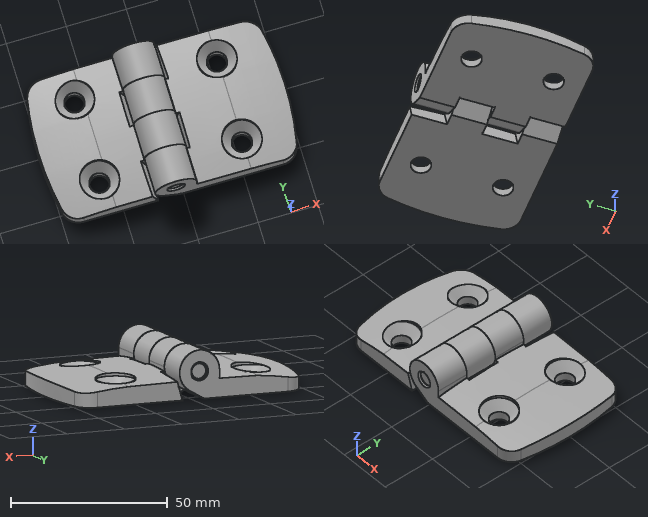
import cadquery as cq
import math

AXIS_X = -2.5
AXIS_Z = 9.0
WIDTH = 48.0
BARREL_RADIUS = 7.0
KNUCKLE_COUNT = 4
KNUCKLE_WIDTH = WIDTH / KNUCKLE_COUNT
UNDERSIDE_ANGLE = math.radians(30)

PIN_DIAMETER = 5.9
PIN_CHAMFER = 0.5
PIN_RECESS = 0.65
PIN_LENGTH = WIDTH - 2 * PIN_RECESS
RIGHT_BORE_DIAMETER = PIN_DIAMETER
LEFT_BORE_DIAMETER = 6.0

OUTER_X = 41.0
RIGHT_END = OUTER_X - AXIS_X
LEFT_END = OUTER_X + AXIS_X
RIGHT_SHOULDER = (24.9, 7.6)
LEFT_SHOULDER = (20.0, 7.8)
RIGHT_END_Z = 5.6
LEFT_END_Z = 4.9
RIGHT_EDGE_RADIUS = 123.0
LEFT_EDGE_RADIUS = 131.2
RIGHT_SCREW_X = 24.9
LEFT_SCREW_X = 22.55

CREST_Z = 7.95
CROWN_RADIUS = 176.3
END_RADIUS = 100.0
CORNER_RADIUS = 6.0

NOTCH_BOTTOM = 5.9
NOTCH_ANGLE = math.radians(17)

SCREW_Y = 13.9
SCREW_DIAMETER = 6.6
HEAD_DIAMETER = 12.9
HEAD_Z = 6.5
HEAD_DEPTH = (HEAD_DIAMETER - SCREW_DIAMETER) / 2


def hinge_cylinder(diameter, length):
    """Cylinder on the hinge line, centred across the width."""
    cylinder = cq.Workplane("XZ").center(0, AXIS_Z).circle(diameter / 2)
    return cylinder.extrude(length / 2, both=True)


def extrude_slot(outline, slot):
    """Extrude an XZ outline across one knuckle slot, counted from the -Y end."""
    return outline.extrude(-KNUCKLE_WIDTH).translate((0, slot * KNUCKLE_WIDTH - WIDTH / 2, 0))


def bowed_block(end):
    """Block whose free end is a shallow arc in plan with rounded corners."""
    block = cq.Workplane("XY").box(
        end - NOTCH_BOTTOM, WIDTH, CREST_Z, centered=(False, True, False)
    )
    block = block.translate((NOTCH_BOTTOM, 0, 0))
    bow = cq.Workplane("XY").circle(END_RADIUS).extrude(CREST_Z)
    block = block.intersect(bow.translate((end - END_RADIUS, 0, 0)))
    mid_z = CREST_Z / 2
    corners = [cq.NearestToPointSelector((end, y, mid_z)) for y in (-WIDTH / 2, WIDTH / 2)]
    return block.edges(corners[0] + corners[1]).fillet(CORNER_RADIUS)


def crowned_top(end, end_z, shoulder, edge_radius):
    """Body of revolution whose outer surface is the domed top of a leaf."""
    centre_z = CREST_Z - CROWN_RADIUS
    return (
        cq.Workplane("XZ")
        .moveTo(0, centre_z)
        .lineTo(0, CREST_Z)
        .lineTo(*shoulder)
        .radiusArc((end, end_z), edge_radius)
        .lineTo(end, centre_z)
        .close()
        .revolve(360, (0, centre_z), (1, centre_z))
    )


def knuckle(slot):
    """Barrel segment blended into its leaf by a vertical wall and a sloping underside."""
    tangent_x = -BARREL_RADIUS * math.sin(UNDERSIDE_ANGLE)
    tangent_z = AXIS_Z - BARREL_RADIUS * math.cos(UNDERSIDE_ANGLE)
    toe_x = tangent_x + tangent_z / math.tan(UNDERSIDE_ANGLE)
    outline = (
        cq.Workplane("XZ")
        .moveTo(toe_x, 0)
        .lineTo(BARREL_RADIUS, 0)
        .lineTo(BARREL_RADIUS, AXIS_Z)
        .threePointArc((-BARREL_RADIUS, AXIS_Z), (tangent_x, tangent_z))
        .close()
    )
    return extrude_slot(outline, slot)


def notch(slot):
    """Clearance wedge that leaves a sloping wall facing the other leaf's knuckle."""
    outline = (
        cq.Workplane("XZ")
        .moveTo(0, 0)
        .lineTo(NOTCH_BOTTOM, 0)
        .lineTo(NOTCH_BOTTOM + CREST_Z * math.tan(NOTCH_ANGLE), CREST_Z)
        .lineTo(0, CREST_Z)
        .close()
    )
    return extrude_slot(outline, slot)


def screw_hole(x, y):
    """Through hole with a conical seat and a short straight rim above it."""
    seat_z = HEAD_Z - HEAD_DEPTH
    return (
        cq.Workplane("XZ")
        .moveTo(0, 0)
        .lineTo(SCREW_DIAMETER / 2, 0)
        .lineTo(SCREW_DIAMETER / 2, seat_z)
        .lineTo(HEAD_DIAMETER / 2, HEAD_Z)
        .lineTo(HEAD_DIAMETER / 2, CREST_Z)
        .lineTo(0, CREST_Z)
        .close()
        .revolve()
        .translate((x, y, 0))
    )


def domed_plate(end, end_z, shoulder, edge_radius):
    """Flat-bottomed plate of a leaf, before its knuckles, notches and holes."""
    return bowed_block(end).intersect(crowned_top(end, end_z, shoulder, edge_radius))


def make_leaf(plate, screw_x, bore_diameter, first_slot):
    """Leaf reaching towards +X from a hinge line at X = 0, with every second knuckle."""
    leaf = plate
    for slot in range(KNUCKLE_COUNT):
        if slot % 2 == first_slot:
            leaf = leaf.union(knuckle(slot))
        else:
            leaf = leaf.cut(notch(slot))
    for y in (-SCREW_Y, SCREW_Y):
        leaf = leaf.cut(screw_hole(screw_x, y))
    return leaf.cut(hinge_cylinder(bore_diameter, WIDTH))


def make_pin():
    """Straight pin with both ends chamfered."""
    return hinge_cylinder(PIN_DIAMETER, PIN_LENGTH).faces("<Y or >Y").chamfer(PIN_CHAMFER)


right_plate = domed_plate(RIGHT_END, RIGHT_END_Z, RIGHT_SHOULDER, RIGHT_EDGE_RADIUS)
right_leaf = make_leaf(right_plate, RIGHT_SCREW_X, RIGHT_BORE_DIAMETER, first_slot=0)

left_plate = domed_plate(LEFT_END, LEFT_END_Z, LEFT_SHOULDER, LEFT_EDGE_RADIUS)
left_leaf = make_leaf(left_plate, LEFT_SCREW_X, LEFT_BORE_DIAMETER, first_slot=1)
left_leaf = left_leaf.mirror("YZ")

pin = make_pin()

bodies = [body.translate((AXIS_X, 0, 0)).val() for body in (right_leaf, left_leaf, pin)]
result = cq.Compound.makeCompound(bodies)